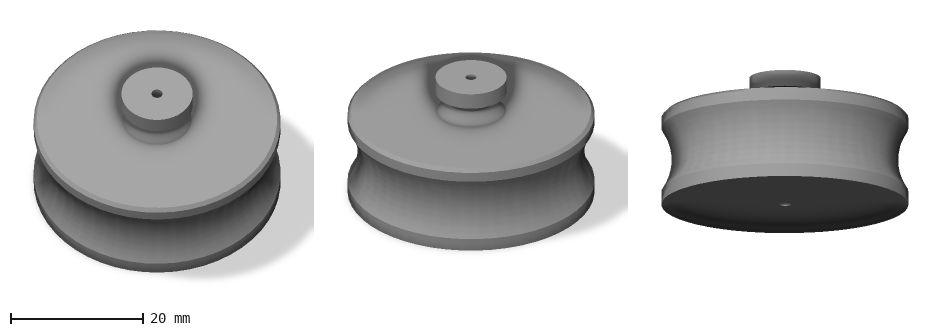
import cadquery as cq

wheel_diameter = 37.4
wheel_height = 13.95
rim_chamfer = 0.52
lower_rim_height = 2.0
groove_width = 9.9
groove_floor_diameter = 34.35

cone_base_diameter = 10.47
cone_height = 1.72
neck_diameter = 6.92
cap_diameter = 10.77
cap_thickness = 2.45
total_height = 19.67

bore_diameter = 1.7

wheel_radius = wheel_diameter / 2
neck_radius = neck_diameter / 2
cap_radius = cap_diameter / 2
groove_top = lower_rim_height + groove_width
groove_middle = lower_rim_height + groove_width / 2
cap_bottom = total_height - cap_thickness

half_section = (
    cq.Workplane("XZ")
    .moveTo(0, 0)
    .lineTo(wheel_radius, 0)
    .lineTo(wheel_radius, lower_rim_height)
    .threePointArc((groove_floor_diameter / 2, groove_middle), (wheel_radius, groove_top))
    .lineTo(wheel_radius, wheel_height - rim_chamfer)
    .lineTo(wheel_radius - rim_chamfer, wheel_height)
    .lineTo(cone_base_diameter / 2, wheel_height)
    .lineTo(neck_radius, wheel_height + cone_height)
    .lineTo(neck_radius, cap_bottom)
    .lineTo(cap_radius, cap_bottom)
    .lineTo(cap_radius, total_height)
    .lineTo(0, total_height)
    .close()
)
body = half_section.revolve(360, (0, 0, 0), (0, 1, 0))

bore = cq.Workplane("XY").circle(bore_diameter / 2).extrude(total_height)

result = body.cut(bore)